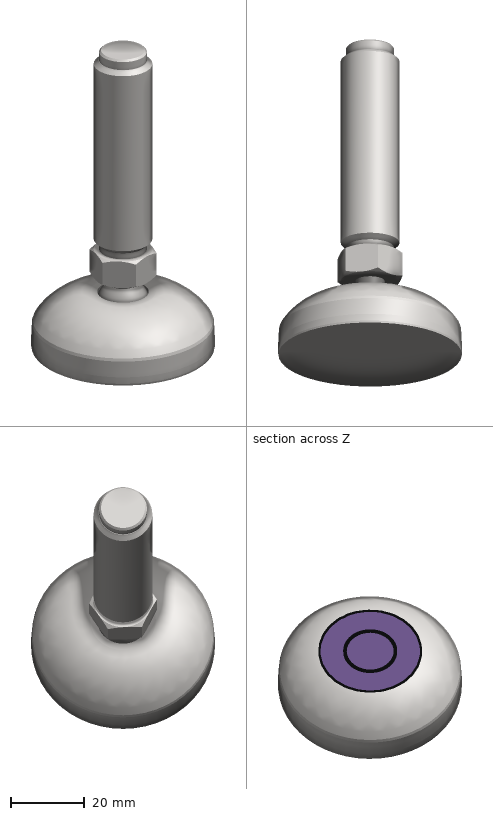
import cadquery as cq
import math

overall_height = 89.2
foot_radius = 25.02
pad_edge = 0.5
pad_height = 2.5
rim_height = 7.1
rim_radius = 24.8
dome_base_height = 7.9
dome_base_radius = 24.5
dome_top_height = 16.4
dome_flat_radius = 8.9
pad_edge_inset = 0.1

socket_radius = 14.0 / 2
socket_depth = 2.2

ball_radius = 14.5 / 2
neck_radius = 8.0 / 2
ball_top_height = 19.1

hex_width = 16.0
hex_base_height = 21.2
hex_height = 8.0
hex_chamfer_angle = 30.0

thread_radius = 16.0 / 2
end_radius = 13.0 / 2
thread_root_radius = 13.3 / 2
lower_chamfer_base = 31.0
thread_base_height = 32.4
thread_top_height = 85.1
upper_chamfer_top = 86.3
tip_chamfer = 0.5

hex_top_height = hex_base_height + hex_height
socket_floor = dome_top_height - socket_depth


def make_foot():
    """Revolved foot whose dome leaves its flat top tangentially."""
    dome_run = dome_base_radius - dome_flat_radius
    dome_drop = dome_top_height - dome_base_height
    dome_radius = (dome_run**2 + dome_drop**2) / (2 * dome_drop)
    half_angle = math.atan2(dome_run, dome_radius - dome_drop) / 2
    dome_middle = (
        dome_flat_radius + dome_radius * math.sin(half_angle),
        dome_top_height - dome_radius * (1 - math.cos(half_angle)),
    )
    return (
        cq.Workplane("XZ")
        .moveTo(0, 0)
        .lineTo(foot_radius - pad_edge_inset, 0)
        .lineTo(foot_radius, pad_edge)
        .lineTo(foot_radius, pad_height)
        .lineTo(rim_radius, rim_height)
        .lineTo(dome_base_radius, dome_base_height)
        .threePointArc(dome_middle, (dome_flat_radius, dome_top_height))
        .lineTo(socket_radius, dome_top_height)
        .lineTo(socket_radius, socket_floor)
        .lineTo(0, socket_floor)
        .close()
        .revolve(360, (0, 0, 0), (0, 1, 0))
    )


def make_spindle():
    """Revolved ball, neck and thread; the ball fills the socket below its rim."""
    ball_centre = ball_top_height - math.sqrt(ball_radius**2 - neck_radius**2)
    return (
        cq.Workplane("XZ")
        .moveTo(0, ball_centre - ball_radius)
        .threePointArc((ball_radius, ball_centre), (neck_radius, ball_top_height))
        .lineTo(neck_radius, hex_base_height)
        .lineTo(end_radius, hex_base_height)
        .lineTo(end_radius, lower_chamfer_base)
        .lineTo(thread_radius, thread_base_height)
        .lineTo(thread_radius, thread_top_height)
        .lineTo(thread_root_radius, upper_chamfer_top)
        .lineTo(end_radius, upper_chamfer_top)
        .lineTo(end_radius, overall_height - tip_chamfer)
        .lineTo(end_radius - tip_chamfer, overall_height)
        .lineTo(0, overall_height)
        .close()
        .revolve(360, (0, 0, 0), (0, 1, 0))
    )


def make_hexagon():
    """Hexagon with conical chamfers at the corners of both end faces."""
    corner_radius = hex_width / math.sqrt(3)
    face_radius = hex_width / 2
    chamfer_drop = (corner_radius - face_radius) * math.tan(math.radians(hex_chamfer_angle))
    prism = (
        cq.Workplane("XY")
        .workplane(offset=hex_base_height)
        .polygon(6, 2 * corner_radius)
        .extrude(hex_height)
        .rotate((0, 0, 0), (0, 0, 1), 30)
    )
    envelope = (
        cq.Workplane("XZ")
        .moveTo(0, hex_base_height)
        .lineTo(face_radius, hex_base_height)
        .lineTo(corner_radius, hex_base_height + chamfer_drop)
        .lineTo(corner_radius, hex_top_height - chamfer_drop)
        .lineTo(face_radius, hex_top_height)
        .lineTo(0, hex_top_height)
        .close()
        .revolve(360, (0, 0, 0), (0, 1, 0))
    )
    return prism.intersect(envelope)


result = make_foot().union(make_spindle()).union(make_hexagon())